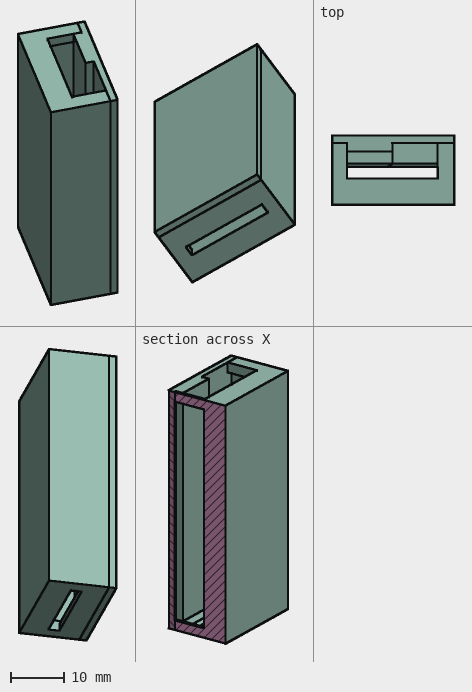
import cadquery as cq

WIDTH = 22.95
DEPTH = 13.0
HEIGHT = 48.4

LID_THICKNESS = 1.4
FRONT_WALL = 5.0
SEAM_Y = DEPTH - LID_THICKNESS

MOUTH_LEFT = 2.8
MOUTH_WIDTH = 17.0
MOUTH_RIGHT = MOUTH_LEFT + MOUTH_WIDTH
MOUTH_MIDDLE = MOUTH_LEFT + MOUTH_WIDTH / 2

POCKET_SIDE_WALL = 1.95
LIP_HEIGHT = 2.05
FLOOR_HEIGHT = LIP_HEIGHT

SLOT_DEPTH = 2.1
SHELF_FRONT = FRONT_WALL + SLOT_DEPTH
SHELF_CHAMFER = 0.7

RIB_DEPTH = 1.6


def block(x_range, y_range, z_range):
    """Box between the given (low, high) limits on each axis."""
    (x0, x1), (y0, y1), (z0, z1) = x_range, y_range, z_range
    return cq.Workplane("XY").box(x1 - x0, y1 - y0, z1 - z0, centered=False).translate((x0, y0, z0))


def make_shelf():
    """Floor across the mouth, with a 45 degree chamfer along its upper front edge."""
    profile = [
        (SHELF_FRONT, 0),
        (SEAM_Y, 0),
        (SEAM_Y, FLOOR_HEIGHT),
        (SHELF_FRONT + SHELF_CHAMFER, FLOOR_HEIGHT),
        (SHELF_FRONT, FLOOR_HEIGHT - SHELF_CHAMFER),
    ]
    return cq.Workplane("YZ").polyline(profile).close().extrude(MOUTH_WIDTH).translate((MOUTH_LEFT, 0, 0))


def make_foot():
    """Left half of the top of the shelf, with a right end that slopes in at 45 degrees."""
    outline = [
        (MOUTH_LEFT, FLOOR_HEIGHT - SHELF_CHAMFER),
        (MOUTH_MIDDLE - SHELF_CHAMFER, FLOOR_HEIGHT - SHELF_CHAMFER),
        (MOUTH_MIDDLE, FLOOR_HEIGHT),
        (MOUTH_LEFT, FLOOR_HEIGHT),
    ]
    strip = cq.Workplane("XZ").polyline(outline).close().extrude(-SEAM_Y)
    return make_shelf().intersect(strip)


def make_housing():
    """Box open at the back, with a lipped pocket and a recess in its floor for the lid's foot."""
    cavity_depth = (FRONT_WALL, SEAM_Y)
    body = block((0, WIDTH), (0, SEAM_Y), (0, HEIGHT))
    mouth = block((MOUTH_LEFT, MOUTH_RIGHT), cavity_depth, (0, HEIGHT))
    pocket = block(
        (POCKET_SIDE_WALL, WIDTH - POCKET_SIDE_WALL),
        cavity_depth,
        (FLOOR_HEIGHT, HEIGHT - LIP_HEIGHT),
    )
    return body.cut(mouth).cut(pocket).union(make_shelf()).cut(make_foot())


def make_lid():
    """Flat back plate with a rib along the left half of the mouth and a foot at its lower end."""
    plate = block((0, WIDTH), (SEAM_Y, DEPTH), (0, HEIGHT))
    rib = block((MOUTH_LEFT, MOUTH_MIDDLE), (SEAM_Y - RIB_DEPTH, SEAM_Y), (FLOOR_HEIGHT, HEIGHT))
    return plate.union(rib).union(make_foot())


housing = make_housing()
lid = make_lid()

result = cq.Compound.makeCompound([housing.val(), lid.val()])